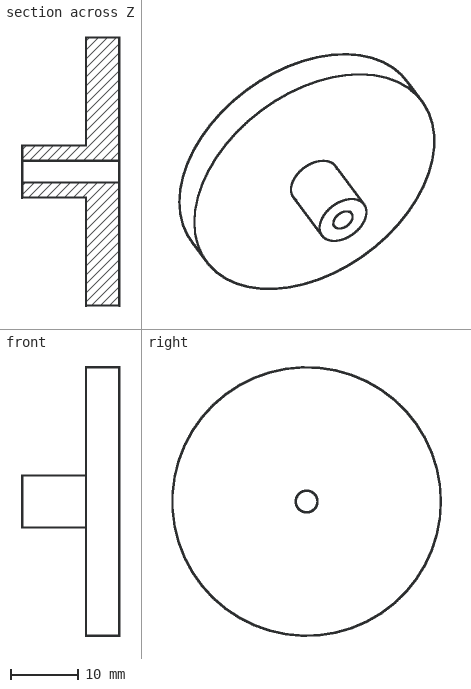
import cadquery as cq

disc_diameter = 40.0
disc_thickness = 5.0
hub_diameter = 7.8
bore_diameter = 3.2
total_length = 14.5

hub_length = total_length - disc_thickness

hub = cq.Workplane("YZ").circle(hub_diameter / 2).extrude(hub_length)

disc = (
    cq.Workplane("YZ")
    .workplane(offset=hub_length)
    .circle(disc_diameter / 2)
    .extrude(disc_thickness)
)

bore = cq.Workplane("YZ").circle(bore_diameter / 2).extrude(total_length)

result = hub.union(disc).cut(bore)